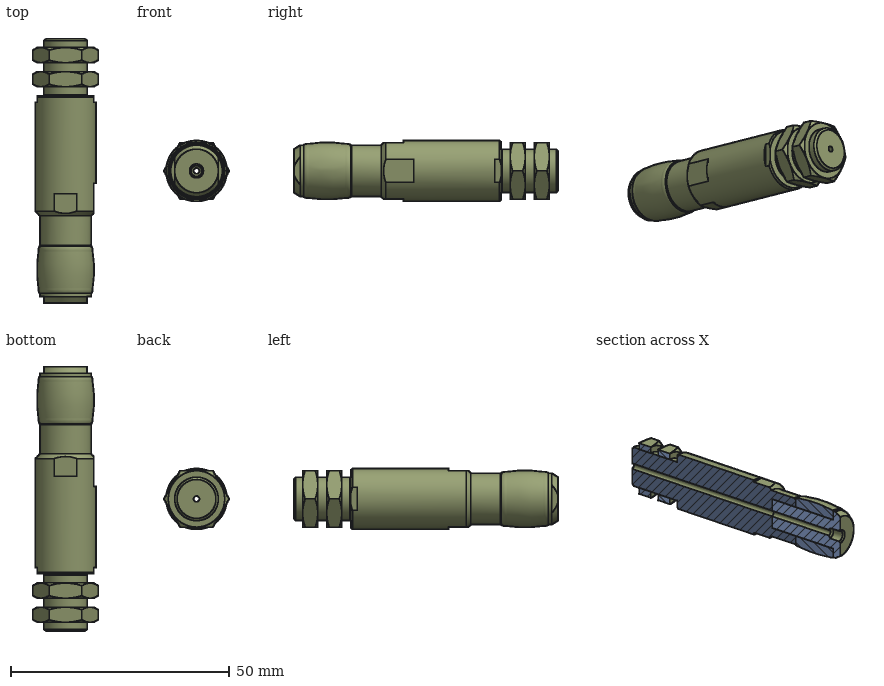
import cadquery as cq
import math

total_length = 60.5
through_hole_diameter = 1.3

head_diameter = 11.8
face_diameter = 10.0
taper_length = 1.45
head_length = 2.25
nose_flat_half_width = 4.95
shank_diameter = 7.5
shank_end = 19.9
mouth_diameter = 3.2
bore_diameter = 2.5
bore_depth = 3.0
drill_point_angle = 118.0

collar_end = 13.0
collar_edge_diameter = 12.0
collar_shoulder_diameter = 12.45
collar_max_diameter = 13.1
shoulder_width = 1.15
shoulder_bulge = 0.09

neck_diameter = 11.8
relief_diameter = 11.5
relief_width = 0.25
sleeve_diameter = 14.0
sleeve_start = 19.95
sleeve_end = 47.45
front_chamfer = (sleeve_diameter - neck_diameter) / 2
rear_chamfer = 0.35
sleeve_flat_distance = 6.5
upper_flat_end = 25.05
side_flat_end = 27.4
rear_flat_start = 46.0
stem_diameter = 10.0
stem_end_diameter = 8.9
stem_chamfer_length = 0.4
undercut_diameter = 9.8
undercut_width = 0.25

nut_corner_diameter = 15.0
nut_bevel_diameter = 12.9
nut_bevel_angle = 30.0
nut_thickness = 3.5
nut_starts = [49.5, 55.0]


def cylinder(diameter, start, end):
    """Cylinder on the Y axis between two Y positions."""
    plane = cq.Workplane("XZ", origin=(0, start, 0))
    return plane.circle(diameter / 2).extrude(start - end)


def revolve_profile(points):
    """Solid of revolution from (diameter, Y) points listed along the axis."""
    outline = [(0, points[0][1])]
    outline += [(diameter / 2, y) for diameter, y in points]
    outline += [(0, points[-1][1])]
    return cq.Workplane("XY").polyline(outline).close().revolve(360, (0, 0), (0, 1))


def flat_cutter(distance, start, end, angle):
    """Block lying beyond a flat; the angle turns it from +X about the Y axis."""
    size = 2 * sleeve_diameter
    block = cq.Workplane("XY").box(size, end - start, size, centered=(False, False, True))
    return block.translate((distance, start, 0)).rotate((0, 0, 0), (0, 1, 0), angle)


def make_nose():
    nose = revolve_profile([
        (face_diameter, 0),
        (head_diameter, taper_length),
        (head_diameter, head_length),
        (shank_diameter, head_length),
        (shank_diameter, shank_end),
    ])
    for angle in (0, 180):
        nose = nose.cut(flat_cutter(nose_flat_half_width, 0, taper_length, angle))
    mouth_depth = (mouth_diameter - bore_diameter) / 2
    half_point_angle = math.radians(drill_point_angle / 2)
    drill_point_length = (bore_diameter - through_hole_diameter) / 2 / math.tan(half_point_angle)
    hole = revolve_profile([
        (mouth_diameter, 0),
        (bore_diameter, mouth_depth),
        (bore_diameter, bore_depth),
        (through_hole_diameter, bore_depth + drill_point_length),
        (through_hole_diameter, shank_end),
    ])
    return nose.cut(hole)


def make_collar():
    inner = shank_diameter / 2
    edge = collar_edge_diameter / 2
    shoulder = collar_shoulder_diameter / 2
    front_shoulder = head_length + shoulder_width
    rear_shoulder = collar_end - shoulder_width
    middle = (head_length + collar_end) / 2
    bulge_radius = (edge + shoulder) / 2 + shoulder_bulge
    profile = (
        cq.Workplane("XY")
        .moveTo(inner, head_length)
        .lineTo(edge, head_length)
        .threePointArc((bulge_radius, head_length + shoulder_width / 2), (shoulder, front_shoulder))
        .threePointArc((collar_max_diameter / 2, middle), (shoulder, rear_shoulder))
        .threePointArc((bulge_radius, collar_end - shoulder_width / 2), (edge, collar_end))
        .lineTo(inner, collar_end)
        .close()
    )
    return profile.revolve(360, (0, 0), (0, 1))


def make_housing():
    housing = revolve_profile([
        (relief_diameter, collar_end),
        (relief_diameter, collar_end + relief_width),
        (neck_diameter, collar_end + relief_width),
        (neck_diameter, sleeve_start),
        (sleeve_diameter, sleeve_start + front_chamfer),
        (sleeve_diameter, sleeve_end - rear_chamfer),
        (sleeve_diameter - 2 * rear_chamfer, sleeve_end),
        (undercut_diameter, sleeve_end),
        (undercut_diameter, sleeve_end + undercut_width),
        (stem_diameter, sleeve_end + undercut_width),
        (stem_diameter, total_length - stem_chamfer_length),
        (stem_end_diameter, total_length),
    ])
    flats = [
        (sleeve_start, side_flat_end, 0),
        (sleeve_start, upper_flat_end, 90),
        (sleeve_start, upper_flat_end, -90),
        (rear_flat_start, sleeve_end, 0),
        (rear_flat_start, sleeve_end, 180),
    ]
    for start, end, angle in flats:
        housing = housing.cut(flat_cutter(sleeve_flat_distance, start, end, angle))
    housing = housing.cut(cylinder(shank_diameter, collar_end, shank_end))
    return housing.cut(cylinder(through_hole_diameter, shank_end, total_length))


def make_nut(start):
    end = start + nut_thickness
    bevel_radial = (nut_corner_diameter - nut_bevel_diameter) / 2
    bevel_length = bevel_radial * math.tan(math.radians(nut_bevel_angle))
    hexagon = (
        cq.Workplane("XZ", origin=(0, start, 0))
        .polygon(6, nut_corner_diameter)
        .extrude(-nut_thickness)
    )
    bevelled_blank = revolve_profile([
        (nut_bevel_diameter, start),
        (nut_corner_diameter, start + bevel_length),
        (nut_corner_diameter, end - bevel_length),
        (nut_bevel_diameter, end),
    ])
    return hexagon.intersect(bevelled_blank).cut(cylinder(stem_diameter, start, end))


nose = make_nose()
collar = make_collar()
housing = make_housing()
nuts = [make_nut(start) for start in nut_starts]

result = cq.Compound.makeCompound(
    [nose.val(), collar.val(), housing.val()] + [nut.val() for nut in nuts]
)